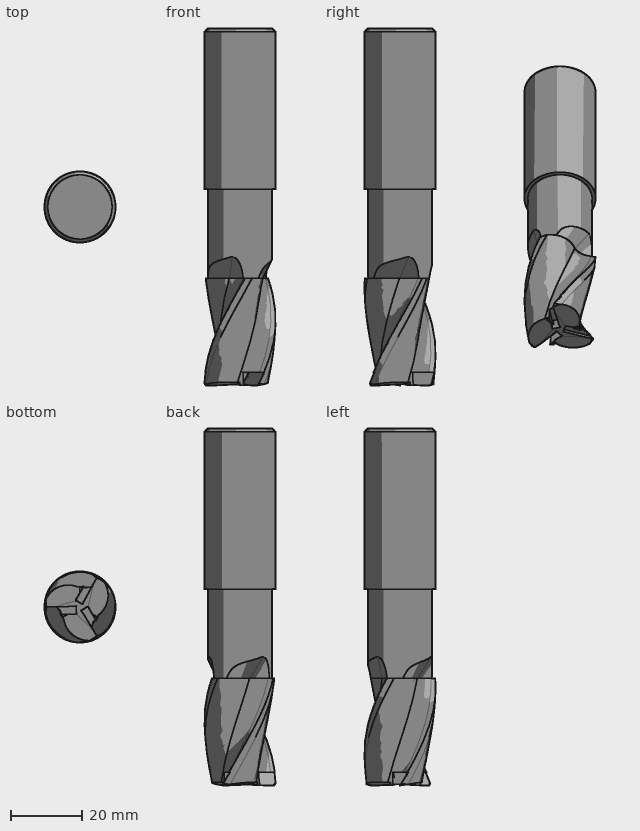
import cadquery as cq
import math

total_length = 100.0
cutter_length = 30.0
grip_length = 45.0
neck_length = total_length - cutter_length - grip_length

tool_radius = 10.0
neck_radius = 9.0
grip_chamfer = 1.0

tooth_count = 3
tooth_pitch = 360.0 / tooth_count
first_edge_angle = 60.0
helix_turn = 98.0

land_end_radius, land_end_angle = 9.8, 12.0
back_radius, back_angle = 7.4, 52.0
root_radius, root_angle = 5.7, 80.0
rake_radius, rake_angle = 6.4, 107.0
lip_radius, lip_angle = 8.6, 117.0

runout_rise = 6.2
runout_shift = 4.0
runout_turn = 3.0
runout_outer_radius = 14.0

corner_chamfer = 0.6
end_relief_slope = 0.16
gash_height = 3.7
gash_width = 2.0
gash_lean = 2.3
gash_inner_radius = 1.0
dish_radius = 7.0
dish_depth = 0.4
tip_clearance = 2.0


def polar(radius, angle):
    turn = math.radians(angle)
    return (radius * math.cos(turn), radius * math.sin(turn))


def add_tooth_back(sketch, edge):
    """Draw land, back, hooked rake face and straight lip up to the next cutting edge."""
    return (
        sketch.lineTo(*polar(land_end_radius, edge + land_end_angle))
        .threePointArc(polar(back_radius, edge + back_angle), polar(root_radius, edge + root_angle))
        .threePointArc(polar(rake_radius, edge + rake_angle), polar(lip_radius, edge + lip_angle))
        .lineTo(*polar(tool_radius, edge + tooth_pitch))
    )


def radial_prism(points, inner_radius, angle):
    """Prism along a radial direction; points are (distance behind the edge, height)."""
    length = tool_radius + tip_clearance - inner_radius
    return (
        cq.Workplane("YZ", origin=(inner_radius, 0, 0))
        .polyline(points)
        .close()
        .extrude(length)
        .rotate((0, 0, 0), (0, 0, 1), angle)
    )


def end_relief(angle):
    """Tip surface that rises behind a cutting edge."""
    width = tool_radius + tip_clearance
    points = [(0, 0), (width, width * end_relief_slope), (width, -tip_clearance), (0, -tip_clearance)]
    return radial_prism(points, 0, angle)


def end_gash(angle):
    """Flat-roofed notch whose leaning wall starts on the cutting edge."""
    points = [(0, 0), (gash_lean, gash_height), (-gash_width, gash_height), (-gash_width, 0)]
    return radial_prism(points, gash_inner_radius, angle)


def make_cutter():
    section = cq.Workplane("XY").moveTo(*polar(tool_radius, first_edge_angle))
    for tooth in range(tooth_count):
        section = add_tooth_back(section, first_edge_angle + tooth * tooth_pitch)
    cutter = section.close().twistExtrude(cutter_length, helix_turn)

    envelope = cq.Workplane("XY").circle(tool_radius).extrude(cutter_length)
    cutter = cutter.intersect(envelope.faces("<Z").chamfer(corner_chamfer))
    for tooth in range(tooth_count):
        angle = first_edge_angle + tooth * tooth_pitch
        cutter = cutter.cut(end_relief(angle)).cut(end_gash(angle))
    dish = cq.Workplane(cq.Solid.makeCone(dish_radius, 0, dish_depth))
    return cutter.cut(dish)


def flute_runout(edge):
    """Flute section carried upward and outward until it leaves the neck."""
    next_edge = edge + tooth_pitch
    middle = edge + (land_end_angle + tooth_pitch) / 2
    start = polar(runout_outer_radius, edge + land_end_angle)
    outline = (
        add_tooth_back(cq.Workplane("XY", origin=(0, 0, cutter_length)).moveTo(*start), edge)
        .lineTo(*polar(runout_outer_radius, next_edge))
        .threePointArc(polar(runout_outer_radius, middle), start)
        .wire()
        .val()
    )
    shift_x, shift_y = polar(runout_shift, next_edge + runout_turn)
    return cq.Solid.extrudeLinear(outline, [], cq.Vector(shift_x, shift_y, runout_rise))


def make_shank():
    neck = cq.Workplane("XY", origin=(0, 0, cutter_length)).circle(neck_radius).extrude(neck_length)
    grip = (
        cq.Workplane("XY", origin=(0, 0, cutter_length + neck_length))
        .circle(tool_radius)
        .extrude(grip_length)
        .faces(">Z")
        .chamfer(grip_chamfer)
    )
    shank = neck.union(grip)
    for tooth in range(tooth_count):
        edge = first_edge_angle + helix_turn + tooth * tooth_pitch
        shank = shank.cut(cq.Workplane(flute_runout(edge)))
    return shank


cutter = make_cutter()
shank = make_shank()
result = cq.Compound.makeCompound([cutter.val(), shank.val()])